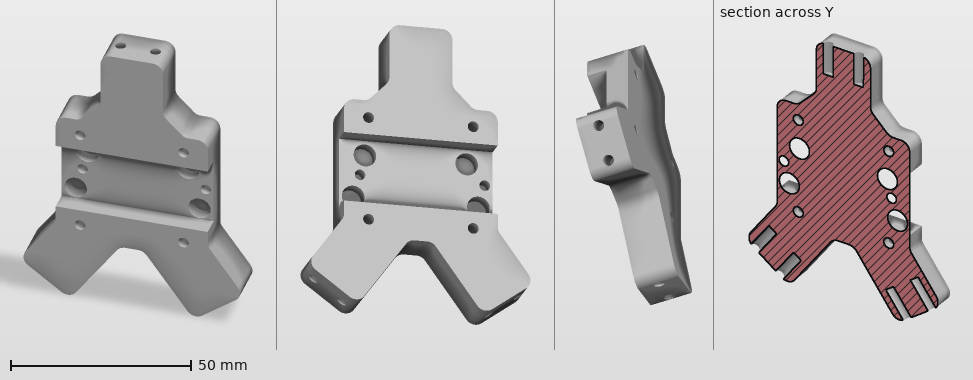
import cadquery as cq

thickness = 12.0
body_width = 44.1
body_height = 40.05
corner_radius = 3.0

arm_width = 18.1
arm_reach = 43.0
arm_angles = (0, 144, -144)
gusset_leg = 6.15

channel_height = 20.15
channel_depth = 5.65

mount_diameter = 3.1
mount_spacing = 30.0
tip_diameter = 3.0
tip_spacing = 10.1
tip_depth = 10.0
pocket_diameter = 6.5
pin_diameter = 3.0
pocket_depth = 4.0
pocket_centres = [(-14.6, 5.8), (14.6, 5.8), (-17.9, -6.6), (17.9, -6.6)]
pin_centres = [(-16.0, 0), (19.75, 0)]


def front_plane(y):
    """Sketch plane with local axes X and Z; extruding goes toward +Y when negative."""
    return cq.Workplane("XZ", origin=(0, y, 0))


def rotate_about_centre(shape, angle):
    return shape.rotate((0, 0, 0), (0, 1, 0), angle)


def make_arm():
    """Upright arm from the centre to its tip."""
    return front_plane(0).center(0, arm_reach / 2).rect(arm_width, arm_reach).extrude(-thickness)


def make_gussets():
    """45 degree wedges between the upright arm and the body shoulders."""
    half_base = arm_width / 2 + gusset_leg
    shoulder = body_height / 2
    outline = [
        (-half_base, 0),
        (-half_base, shoulder),
        (-arm_width / 2, shoulder + gusset_leg),
        (arm_width / 2, shoulder + gusset_leg),
        (half_base, shoulder),
        (half_base, 0),
    ]
    return front_plane(0).polyline(outline).close().extrude(-thickness)


def make_plate():
    plate = front_plane(0).rect(body_width, body_height).extrude(-thickness)
    plate = plate.union(make_gussets())
    for angle in arm_angles:
        plate = plate.union(rotate_about_centre(make_arm(), angle))
    return plate.clean().edges("|Y").fillet(corner_radius)


def make_channel():
    return front_plane(0).rect(body_width, channel_height).extrude(-channel_depth)


def make_mount_holes():
    holes = front_plane(0).rect(mount_spacing, mount_spacing, forConstruction=True).vertices()
    return holes.circle(mount_diameter / 2).extrude(-thickness)


def make_floor_holes(centres, diameter):
    """Blind holes in the channel floor."""
    return front_plane(channel_depth).pushPoints(centres).circle(diameter / 2).extrude(-pocket_depth)


def make_tip_holes():
    """Pair of blind holes in the tip of the upright arm."""
    tip = cq.Workplane("XY", origin=(0, thickness / 2, arm_reach))
    centres = [(-tip_spacing / 2, 0), (tip_spacing / 2, 0)]
    return tip.pushPoints(centres).circle(tip_diameter / 2).extrude(-tip_depth)


result = make_plate().cut(make_channel()).cut(make_mount_holes())
result = result.cut(make_floor_holes(pocket_centres, pocket_diameter))
result = result.cut(make_floor_holes(pin_centres, pin_diameter))
for angle in arm_angles:
    result = result.cut(rotate_about_centre(make_tip_holes(), angle))